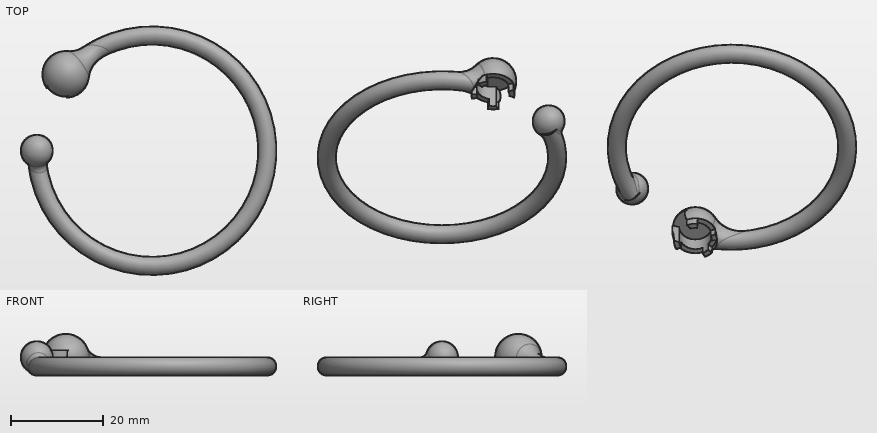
import cadquery as cq
import math

ring_radius = 25.01
tube_radius = 2.0

ball_angle = 180.0
ball_radius = 3.5
ball_blend = 1.5

socket_angle = 138.5
socket_radius = 5.1
cavity_radius = 7.1 / 2
socket_blend = 7.0

sphere_z = 2.0
base_z = -tube_radius
socket_bottom_z = sphere_z - socket_radius

skirt_top_z = 0.0
skirt_radius = math.sqrt(socket_radius**2 - (sphere_z - skirt_top_z) ** 2)
finger_gaps = [(-54, 7), (27, 70), (94, 182)]

entry_radius = 2.47
entry_heading = math.radians(244.4)
entry_offset = 4.1
roof_z = 3.55

seam_tolerance = 1e-3


def on_ring(angle, z):
    """Point at height z over the ring's centreline at a polar angle."""
    turn = math.radians(angle)
    return cq.Vector(ring_radius * math.cos(turn), ring_radius * math.sin(turn), z)


ball_center = on_ring(ball_angle, sphere_z)
socket_center = on_ring(socket_angle, sphere_z)


def make_ring():
    """Round tube running the long way from the ball to the socket."""
    sweep_angle = 360 - (ball_angle - socket_angle)
    tube = (
        cq.Workplane("XZ")
        .center(ring_radius, 0)
        .circle(tube_radius)
        .revolve(sweep_angle, (-ring_radius, 0, 0), (-ring_radius, 1, 0))
    )
    return tube.rotate((0, 0, 0), (0, 0, 1), ball_angle)


def add_blended_sphere(body, ball, radius, center, blend):
    """Join a sphere to the tube and round the seam between them."""
    joined = body.union(ball.translate(center))
    seams = [
        edge
        for edge in joined.edges().vals()
        if edge.geomType() == "BSPLINE"
        and abs((edge.positionAt(0) - center).Length - radius) < seam_tolerance
    ]
    return joined.newObject(seams).fillet(blend)


def add_ball(body):
    """Solid ball with its poles along X."""
    ball = cq.Workplane("XY").sphere(ball_radius).rotate((0, 0, 0), (0, 1, 0), -90)
    return add_blended_sphere(body, ball, ball_radius, ball_center, ball_blend)


def add_socket_ball(body):
    """Outer sphere of the socket, with its seam turned away from the tube."""
    seam_heading = socket_angle + 90
    ball = cq.Workplane("XY").sphere(socket_radius).rotate((0, 0, 0), (0, 0, 1), seam_heading)
    return add_blended_sphere(body, ball, socket_radius, socket_center, socket_blend)


def socket_cylinder(radius, bottom_z, top_z):
    """Upright cylinder on the axis of the socket."""
    foot = cq.Vector(socket_center.x, socket_center.y, bottom_z)
    return cq.Workplane("XY").circle(radius).extrude(top_z - bottom_z).translate(foot)


def skirt_wedge(start_angle, end_angle):
    """Pie-shaped cutter reaching from the axis of the socket to the face of the skirt."""

    def rim(angle):
        turn = math.radians(angle)
        return (skirt_radius * math.cos(turn), skirt_radius * math.sin(turn))

    return (
        cq.Workplane("XY")
        .lineTo(*rim(start_angle))
        .threePointArc(rim((start_angle + end_angle) / 2), rim(end_angle))
        .close()
        .extrude(skirt_top_z - socket_bottom_z)
        .translate((socket_center.x, socket_center.y, socket_bottom_z))
    )


def add_socket(body):
    """Hollow sphere on the tube end, with its skirt, finger gaps and entry."""
    socket = add_socket_ball(body)
    socket = socket.union(socket_cylinder(skirt_radius, base_z, skirt_top_z))
    socket = socket.cut(socket_cylinder(cavity_radius, socket_bottom_z, roof_z))
    for start_angle, end_angle in finger_gaps:
        socket = socket.cut(skirt_wedge(start_angle, end_angle))
    entry_shift = (
        entry_offset * math.cos(entry_heading),
        entry_offset * math.sin(entry_heading),
    )
    entry = socket_cylinder(entry_radius, base_z, roof_z).translate(entry_shift + (0,))
    return socket.cut(entry)


result = add_socket(add_ball(make_ring()))